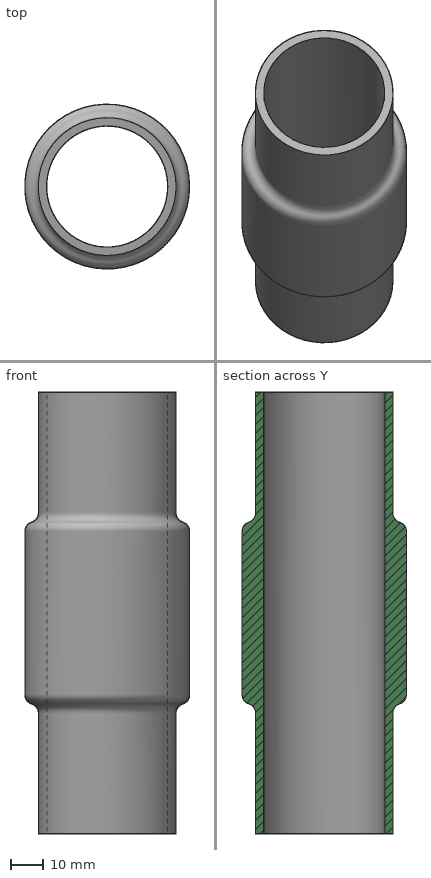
import cadquery as cq
import math

length = 136.0
pipe_diameter = 42.4
pipe_wall = 2.6
sleeve_diameter = 50.8
blend_radius = 3.0
shoulder_height = 28.0

half_length = length / 2
pipe_radius = pipe_diameter / 2
bore_radius = pipe_radius - pipe_wall
sleeve_radius = sleeve_diameter / 2

shoulder_radius = (pipe_radius + sleeve_radius) / 2
arc_rise = (sleeve_radius - pipe_radius) / 2
arc_angle = math.acos(1 - arc_rise / blend_radius)
arc_height = blend_radius * math.sin(arc_angle)
sleeve_end = shoulder_height - arc_height
pipe_start = shoulder_height + arc_height

half_arc_rise = blend_radius * (1 - math.cos(arc_angle / 2))
half_arc_height = blend_radius * math.sin(arc_angle / 2)
convex_radius = sleeve_radius - half_arc_rise
convex_height = sleeve_end + half_arc_height
concave_radius = pipe_radius + half_arc_rise
concave_height = pipe_start - half_arc_height


def make_pipe_with_sleeve():
    """Revolve the half section of the pipe, its thicker sleeve and both shoulders."""
    section = (
        cq.Workplane("XZ")
        .moveTo(bore_radius, -half_length)
        .lineTo(pipe_radius, -half_length)
        .lineTo(pipe_radius, -pipe_start)
        .threePointArc((concave_radius, -concave_height), (shoulder_radius, -shoulder_height))
        .threePointArc((convex_radius, -convex_height), (sleeve_radius, -sleeve_end))
        .lineTo(sleeve_radius, sleeve_end)
        .threePointArc((convex_radius, convex_height), (shoulder_radius, shoulder_height))
        .threePointArc((concave_radius, concave_height), (pipe_radius, pipe_start))
        .lineTo(pipe_radius, half_length)
        .lineTo(bore_radius, half_length)
        .close()
    )
    return section.revolve(360, (0, 0, 0), (0, 1, 0))


result = make_pipe_with_sleeve()